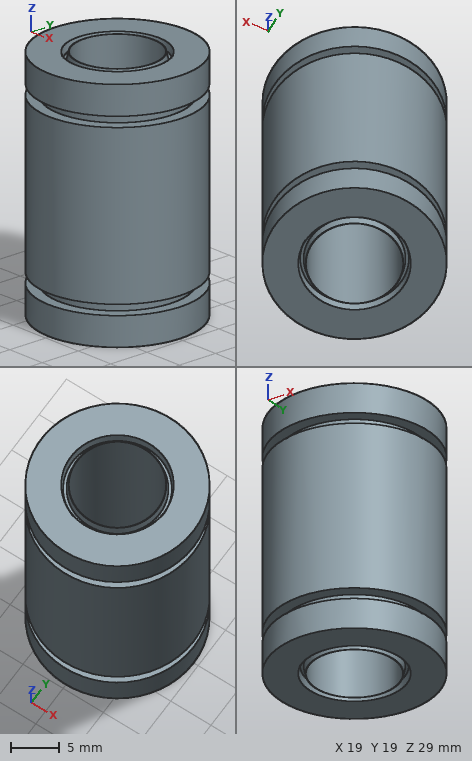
import cadquery as cq

length = 29.0
outer_diameter = 19.0
bore_diameter = 10.0
retaining_groove_diameter = 16.2
retaining_groove_width = 1.25
retaining_groove_offset = 3.5

recess_mouth_diameter = 11.6
recess_floor_outer_diameter = 11.2
recess_floor_inner_diameter = 10.5
recess_rim_diameter = 10.1
recess_depth = 0.87


def make_sleeve():
    return (
        cq.Workplane("XY")
        .circle(outer_diameter / 2)
        .circle(bore_diameter / 2)
        .extrude(length)
    )


def make_retaining_groove(base_height):
    return (
        cq.Workplane("XY", origin=(0, 0, base_height))
        .circle(outer_diameter / 2)
        .circle(retaining_groove_diameter / 2)
        .extrude(retaining_groove_width)
    )


def make_end_recess():
    """Ring-shaped cutter for the top face, revolved about Z."""
    floor_height = length - recess_depth
    return (
        cq.Workplane("XZ")
        .polyline([
            (recess_rim_diameter / 2, length),
            (recess_floor_inner_diameter / 2, floor_height),
            (recess_floor_outer_diameter / 2, floor_height),
            (recess_mouth_diameter / 2, length),
        ])
        .close()
        .revolve(360, (0, 0, 0), (0, 1, 0))
    )


lower_groove_base = retaining_groove_offset
upper_groove_base = length - retaining_groove_offset - retaining_groove_width

result = make_sleeve()
for groove_base in (lower_groove_base, upper_groove_base):
    result = result.cut(make_retaining_groove(groove_base))

top_recess = make_end_recess()
bottom_recess = top_recess.mirror("XY", (0, 0, length / 2))
result = result.cut(top_recess).cut(bottom_recess)